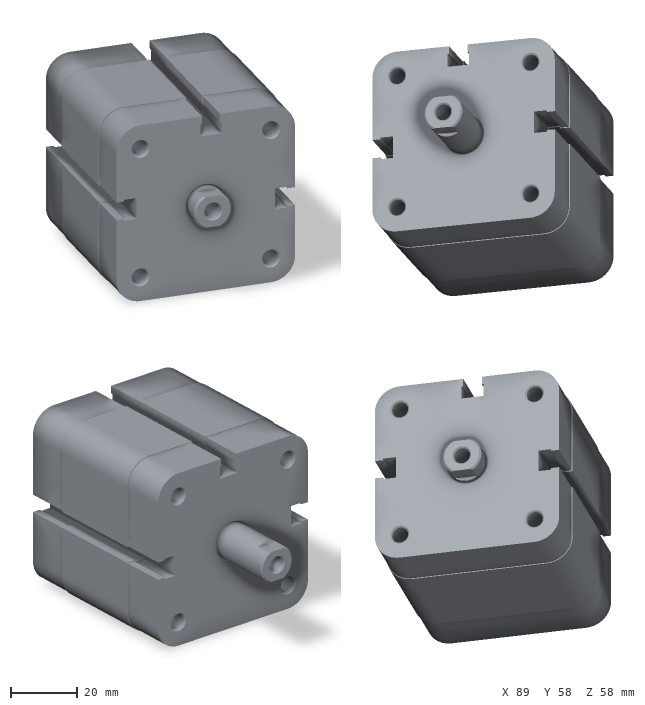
import cadquery as cq
import math


ROD_LENGTH = 89.0
LEFT_STICKOUT = 21.5
COVER_LENGTH = 14.7
BARREL_LENGTH = 31.7

ROD_START = -ROD_LENGTH / 2
LEFT_COVER_START = ROD_START + LEFT_STICKOUT
BARREL_START = LEFT_COVER_START + COVER_LENGTH
BARREL_MIDDLE = BARREL_START + BARREL_LENGTH / 2

BARREL_SIZE = 58.0
CORNER_RADIUS = 8.0
COVER_SETBACK = 0.3

SLOT_NECK_WIDTH = 5.25
SLOT_CAVITY_WIDTH = 6.3
SLOT_NECK_DEPTH = 3.0
SLOT_DEPTH = 6.5
SLOT_OFFSET = 1.7
SLOT_TURNS = [-90, 0, 90]

BOLT_SPACING = 42.0
BOLT_HOLE_DIAMETER = 5.0
BOLT_HOLE_CHAMFER = 0.45

ROD_DIAMETER = 12.0
ROD_CHAMFER = 0.5
ROD_SEAT_CHAMFER = 0.45
FLAT_LENGTH = 5.4
FLAT_RUNOUT = 0.4
ACROSS_FLATS = 10.0
CENTRE_HOLE_DIAMETER = 5.0
CENTRE_HOLE_DEPTH = 10.7
CENTRE_HOLE_CHAMFER = 0.45
DRILL_POINT_ANGLE = 120.0


def slot_cutter(start, length, setback):
    """T-shaped slot for the top face, with its walls moved out by the setback."""
    face = BARREL_SIZE / 2
    neck_half = SLOT_NECK_WIDTH / 2 + setback
    cavity_half = SLOT_CAVITY_WIDTH / 2 + setback
    ledge = face - SLOT_NECK_DEPTH + setback
    floor = face - SLOT_DEPTH - setback
    return (
        cq.Workplane("YZ", origin=(start, SLOT_OFFSET, 0))
        .moveTo(-neck_half, face)
        .lineTo(-neck_half, ledge)
        .lineTo(-cavity_half, ledge)
        .lineTo(-cavity_half, floor)
        .lineTo(cavity_half, floor)
        .lineTo(cavity_half, ledge)
        .lineTo(neck_half, ledge)
        .lineTo(neck_half, face)
        .close()
        .extrude(length)
    )


def profile_block(start, length, setback):
    """Slotted block along X, with its walls set back, bored for the rod and the bolts."""
    size = BARREL_SIZE - 2 * setback
    block = (
        cq.Workplane("YZ", origin=(start, 0, 0))
        .rect(size, size)
        .extrude(length)
        .edges("|X")
        .fillet(CORNER_RADIUS - setback)
    )
    slot = slot_cutter(start, length, setback)
    for turn in SLOT_TURNS:
        block = block.cut(slot.rotate((0, 0, 0), (1, 0, 0), turn))

    holes = (
        cq.Workplane("YZ", origin=(start, 0, 0))
        .rect(BOLT_SPACING, BOLT_SPACING, forConstruction=True)
        .vertices()
        .circle(BOLT_HOLE_DIAMETER / 2)
        .extrude(length)
    )
    rod_hole = cq.Workplane("YZ", origin=(start, 0, 0)).circle(ROD_DIAMETER / 2).extrude(length)
    return block.cut(holes).cut(rod_hole)


def mirrored(body, plane_x=0.0):
    """The body reflected in the plane X = plane_x."""
    return body.mirror("YZ", (plane_x, 0, 0))


def countersink(outer_x, diameter, chamfer, y=0.0, z=0.0):
    """45-degree cone that chamfers the mouth of a hole entering the part towards +X."""
    radius = diameter / 2
    cone = cq.Solid.makeCone(
        radius + chamfer, radius, chamfer, cq.Vector(outer_x, y, z), cq.Vector(1, 0, 0)
    )
    return cq.Workplane(obj=cone)


def cover():
    """End cover whose outer face looks towards -X, placed at the left end of the barrel."""
    body = profile_block(LEFT_COVER_START, COVER_LENGTH, COVER_SETBACK)
    body = body.cut(countersink(LEFT_COVER_START, ROD_DIAMETER, ROD_SEAT_CHAMFER))
    for y in (-BOLT_SPACING / 2, BOLT_SPACING / 2):
        for z in (-BOLT_SPACING / 2, BOLT_SPACING / 2):
            body = body.cut(
                countersink(LEFT_COVER_START, BOLT_HOLE_DIAMETER, BOLT_HOLE_CHAMFER, y, z)
            )
    return body


def flat_cutter():
    """Cutter for the upper wrench flat at the -X end of the rod, with a sloped run-out."""
    low = ACROSS_FLATS / 2
    high = ROD_DIAMETER / 2
    return (
        cq.Workplane("XZ")
        .moveTo(ROD_START, low)
        .lineTo(ROD_START + FLAT_LENGTH - FLAT_RUNOUT, low)
        .lineTo(ROD_START + FLAT_LENGTH, high)
        .lineTo(ROD_START, high)
        .close()
        .extrude(ROD_DIAMETER / 2, both=True)
    )


def centre_hole_cutter():
    """Blind drilled hole with a conical bottom and a chamfered mouth, at the -X end of the rod."""
    radius = CENTRE_HOLE_DIAMETER / 2
    mouth_radius = radius + CENTRE_HOLE_CHAMFER
    point_length = radius / math.tan(math.radians(DRILL_POINT_ANGLE / 2))
    hole_end = ROD_START + CENTRE_HOLE_DEPTH
    return (
        cq.Workplane("XY")
        .moveTo(ROD_START, 0)
        .lineTo(ROD_START, mouth_radius)
        .lineTo(ROD_START + CENTRE_HOLE_CHAMFER, radius)
        .lineTo(hole_end, radius)
        .lineTo(hole_end + point_length, 0)
        .close()
        .revolve(360, (0, 0, 0), (1, 0, 0))
    )


def piston_rod():
    """Through rod with two wrench flats and a centre hole at each end."""
    rod = (
        cq.Workplane("YZ", origin=(ROD_START, 0, 0))
        .circle(ROD_DIAMETER / 2)
        .extrude(ROD_LENGTH)
        .faces("<X or >X")
        .chamfer(ROD_CHAMFER)
    )
    upper_flat = flat_cutter()
    lower_flat = upper_flat.mirror("XY")
    for cutter in (upper_flat, lower_flat, centre_hole_cutter()):
        rod = rod.cut(cutter).cut(mirrored(cutter))
    return rod


def end_cover(is_right):
    """One end cover; the right one mirrors the left one in the middle of the barrel."""
    return mirrored(cover(), BARREL_MIDDLE) if is_right else cover()


barrel = profile_block(BARREL_START, BARREL_LENGTH, 0.0)
end_covers = [end_cover(is_right).val() for is_right in (False, True)]
rod = piston_rod()

result = cq.Compound.makeCompound([barrel.val(), *end_covers, rod.val()])